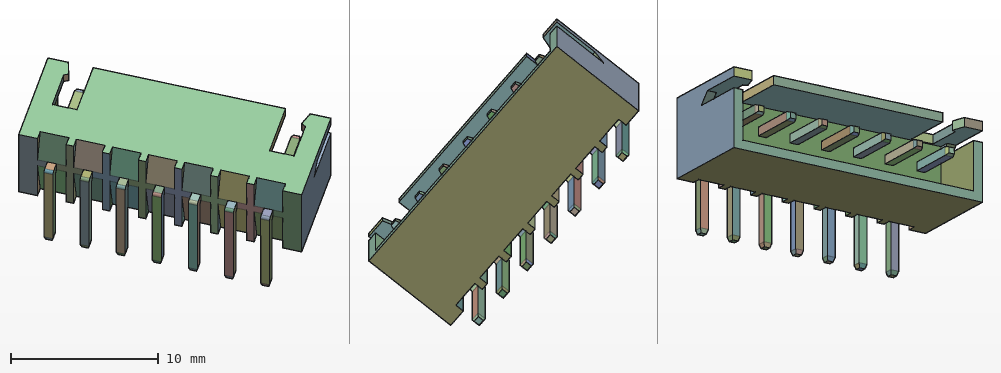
import cadquery as cq

length = 19.91
depth = 7.2
height = 5.83
plate_wall = 0.68
side_wall = 0.72
mouth_y = depth

pin_count = 7
pin_row_span = 15.23
pin_size = 0.64
pin_top_z = height - 2.17
pin_overhang = 0.84
pin_drop = 3.38
pin_tip_setback = 0.22
tip_length = 0.32
tip_inset = 0.1
bend_radius = 0.2

pin_pitch = pin_row_span / (pin_count - 1)
pin_xs = [-pin_row_span / 2 + i * pin_pitch for i in range(pin_count)]

recess_width = 2.01
recess_depth = 0.65
upper_recess_height = height - pin_top_z
lower_recess_height = 3.07

latch_slot_inset = 1.45
latch_slot_width = 1.73
latch_slot_length = 3.96
hook_reach = 0.32
hook_peak_setback = 1.02
hook_end_setback = 1.2

side_slot_height = 0.84
side_slot_top_length = 3.35
side_slot_bottom_length = 4.12

cavity_depth = side_slot_bottom_length


def prism_along_x(points, width, x_centre):
    """Extrude a (Y, Z) outline symmetrically about x_centre."""
    outline = cq.Workplane("YZ", origin=(x_centre, 0, 0)).polyline(points).close()
    return outline.extrude(width / 2, both=True)


def make_shell():
    outer = cq.Workplane("XY").box(length, depth, height, centered=(True, False, False))
    cavity = (
        cq.Workplane("XY", origin=(0, mouth_y - cavity_depth, plate_wall))
        .box(length - 2 * side_wall, cavity_depth, height - 2 * plate_wall,
             centered=(True, False, False))
    )
    return outer.cut(cavity)


def make_back_recesses(x):
    upper = [(0, height), (recess_depth, height), (0, height - upper_recess_height)]
    lower = [(0, 0), (recess_depth, 0), (0, lower_recess_height)]
    return prism_along_x(upper, recess_width, x).union(prism_along_x(lower, recess_width, x))


def make_latch_slot():
    """Slot at the -X end; its outline steps around the hook."""
    outer_x = -length / 2 + latch_slot_inset
    inner_x = outer_x + latch_slot_width
    outline = [
        (outer_x, mouth_y),
        (outer_x + hook_reach, mouth_y - hook_peak_setback),
        (outer_x, mouth_y - hook_end_setback),
        (outer_x, mouth_y - latch_slot_length),
        (inner_x, mouth_y - latch_slot_length),
        (inner_x, mouth_y),
    ]
    plate_bottom = cq.Workplane("XY", origin=(0, 0, height - plate_wall))
    return plate_bottom.polyline(outline).close().extrude(plate_wall)


def make_side_slots():
    top_z = height - plate_wall
    bottom_z = top_z - side_slot_height
    outline = [
        (mouth_y, top_z),
        (mouth_y - side_slot_top_length, top_z),
        (mouth_y - side_slot_bottom_length, bottom_z),
        (mouth_y, bottom_z),
    ]
    return prism_along_x(outline, length, 0)


def make_tip(base_centre, direction):
    """Tapered pin end pointing along direction."""
    end_size = pin_size - 2 * tip_inset
    base_plane = cq.Plane(origin=base_centre, xDir=(1, 0, 0), normal=direction)
    return (
        cq.Workplane(base_plane)
        .rect(pin_size, pin_size)
        .workplane(offset=tip_length)
        .rect(end_size, end_size)
        .loft(ruled=True)
    )


def make_pin(x):
    outer_y = -pin_overhang
    inner_y = outer_y + pin_size
    bottom_z = pin_top_z - pin_size
    mating_end_y = mouth_y - pin_tip_setback - tip_length
    tail_end_z = -pin_drop + tip_length
    outline = [
        (mating_end_y, pin_top_z),
        (outer_y, pin_top_z),
        (outer_y, tail_end_z),
        (inner_y, tail_end_z),
        (inner_y, bottom_z),
        (mating_end_y, bottom_z),
    ]
    bar = prism_along_x(outline, pin_size, x)
    for corner in [(x, outer_y, pin_top_z), (x, inner_y, bottom_z)]:
        bar = bar.edges(cq.selectors.NearestToPointSelector(corner)).fillet(bend_radius)

    mating_tip = make_tip((x, mating_end_y, pin_top_z - pin_size / 2), (0, 1, 0))
    tail_tip = make_tip((x, outer_y + pin_size / 2, tail_end_z), (0, 0, -1))
    return bar.union(mating_tip).union(tail_tip)


latch_slot = make_latch_slot()
result = make_shell().cut(make_side_slots())
result = result.cut(latch_slot).cut(latch_slot.mirror("YZ"))
for pin_x in pin_xs:
    result = result.cut(make_back_recesses(pin_x)).union(make_pin(pin_x))